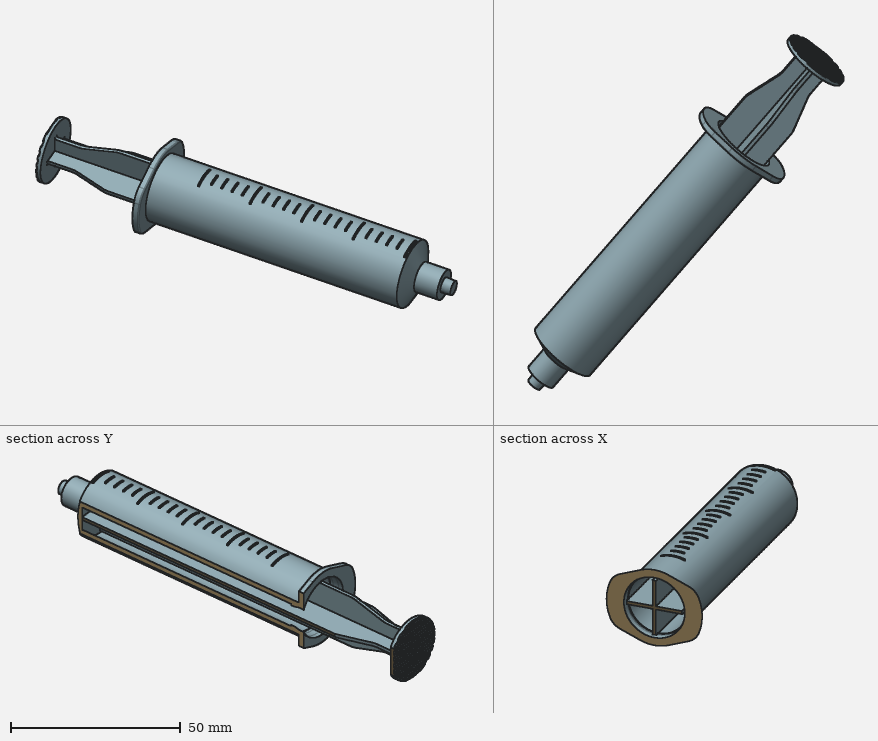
import cadquery as cq
import math


BARREL_DIAMETER = 21.3
BARREL_RADIUS = BARREL_DIAMETER / 2
BORE_DIAMETER = 19.4
BORE_RADIUS = BORE_DIAMETER / 2
FLANGE_THICKNESS = 2.0
SHOULDER_START = 84.4
SHOULDER_LENGTH = 2.8
BORE_DEPTH = 83.5

BEAD_HEIGHT = 0.2
BEAD_RAMP_START = 1.7
BEAD_LAND_START = 3.5
BEAD_END = 4.8

COLLAR_RADIUS = 4.8
COLLAR_LENGTH = 7.5
TIP_BASE_RADIUS = 2.4
TIP_END_RADIUS = 2.2
TIP_LENGTH = 3.2
NOZZLE_START = SHOULDER_START + SHOULDER_LENGTH
NOZZLE_END = NOZZLE_START + COLLAR_LENGTH + TIP_LENGTH

FLANGE_WIDTH = 31.0
FLANGE_HEIGHT = 25.0
FLANGE_SIDE_RADIUS = FLANGE_WIDTH / 2
FLANGE_TOP_RADIUS = FLANGE_HEIGHT / 2
FLANGE_CORNER_RADIUS = 6.1
FLANGE_SIDE_HALF_HEIGHT = 5.7
FLANGE_FILLET_RADIUS = 0.4

GRADUATION_COUNT = 21
MAJOR_EVERY = 5
GRADUATION_SPAN = 67.6
ZERO_MARK_X = 83.6
MARK_WIDTH = 0.46
MARK_HEIGHT = 0.2
MAJOR_HALF_LENGTH = 3.8
MINOR_HALF_LENGTH = 2.1

THUMB_DISC_RADIUS = 10.2
THUMB_DISC_THICKNESS = 1.5
OVERALL_LENGTH = 132
PLUNGER_START = NOZZLE_END - OVERALL_LENGTH
RIB_THICKNESS = 1.2
NECK_WIDTH = 10.7
RIB_WIDTH = 17.8
NECK_RADIUS = NECK_WIDTH / 2
RIB_RADIUS = RIB_WIDTH / 2
TAPER_START = PLUNGER_START + 10.3
TAPER_END = PLUNGER_START + 22.2
TAPER_BLEND_RADIUS = 6.6
DISC_FILLET_RADIUS = 0.7

GRIP_WIDTH = 1.12
GRIP_DEPTH = 0.3
GRIP_GROOVES_PER_SIDE = 5


def revolve_about_x(profile):
    """Revolve an XY profile a full turn about the X axis."""
    return profile.revolve(360, (0, 0, 0), (1, 0, 0))


def x_cylinder(radius, start, end):
    return cq.Workplane("YZ", origin=(start, 0, 0)).circle(radius).extrude(end - start)


def polar(radius, angle):
    return (radius * math.cos(angle), radius * math.sin(angle))


def make_flange():
    side_angle = math.asin(FLANGE_SIDE_HALF_HEIGHT / FLANGE_SIDE_RADIUS)
    corner_distance = FLANGE_SIDE_RADIUS - FLANGE_CORNER_RADIUS
    line_angle = side_angle + math.acos((FLANGE_TOP_RADIUS - FLANGE_CORNER_RADIUS) / corner_distance)
    corner_y, corner_z = polar(corner_distance, side_angle)

    def on_corner(angle):
        dy, dz = polar(FLANGE_CORNER_RADIUS, angle)
        return (corner_y + dy, corner_z + dz)

    quarter = (
        cq.Workplane("YZ")
        .lineTo(FLANGE_SIDE_RADIUS, 0)
        .threePointArc(polar(FLANGE_SIDE_RADIUS, side_angle / 2), polar(FLANGE_SIDE_RADIUS, side_angle))
        .threePointArc(on_corner((side_angle + line_angle) / 2), on_corner(line_angle))
        .lineTo(*polar(FLANGE_TOP_RADIUS, line_angle))
        .threePointArc(polar(FLANGE_TOP_RADIUS, (line_angle + math.pi / 2) / 2), (0, FLANGE_TOP_RADIUS))
        .close()
        .extrude(FLANGE_THICKNESS)
    )
    half = quarter.union(quarter.mirror("XZ"))
    flange = half.union(half.mirror("XY")).clean()
    return flange.faces(">X").edges().fillet(FLANGE_FILLET_RADIUS)


def make_graduations():
    """Low curved bars standing on top of the barrel wall, every fifth one longer."""
    pitch = GRADUATION_SPAN / (GRADUATION_COUNT - 1)
    mark_radius = BARREL_RADIUS + MARK_HEIGHT
    marks = []
    for index in range(GRADUATION_COUNT):
        half_length = MINOR_HALF_LENGTH
        if index % MAJOR_EVERY == 0:
            half_length = MAJOR_HALF_LENGTH
        mark_x = ZERO_MARK_X - index * pitch
        ring = x_cylinder(mark_radius, mark_x - MARK_WIDTH / 2, mark_x + MARK_WIDTH / 2)
        sector = cq.Workplane(origin=(mark_x, 0, 0)).rect(2 * MARK_WIDTH, 2 * half_length).extrude(mark_radius)
        marks.append(ring.intersect(sector))
    return marks


def make_bore():
    land_radius = BORE_RADIUS - BEAD_HEIGHT
    return revolve_about_x(
        cq.Workplane("XY")
        .lineTo(0, BORE_RADIUS)
        .lineTo(BEAD_RAMP_START, BORE_RADIUS)
        .lineTo(BEAD_LAND_START, land_radius)
        .lineTo(BEAD_END, land_radius)
        .lineTo(BEAD_END, BORE_RADIUS)
        .lineTo(BORE_DEPTH, BORE_RADIUS)
        .lineTo(BORE_DEPTH, 0)
        .close()
    )


def make_barrel():
    body = revolve_about_x(
        cq.Workplane("XY")
        .lineTo(0, BARREL_RADIUS)
        .lineTo(SHOULDER_START, BARREL_RADIUS)
        .lineTo(NOZZLE_START, COLLAR_RADIUS)
        .lineTo(NOZZLE_START, 0)
        .close()
    )
    body = body.union(make_flange())
    for mark in make_graduations():
        body = body.union(mark)
    return body.cut(make_bore())


def make_nozzle():
    collar_end = NOZZLE_START + COLLAR_LENGTH
    return revolve_about_x(
        cq.Workplane("XY")
        .moveTo(NOZZLE_START, 0)
        .lineTo(NOZZLE_START, COLLAR_RADIUS)
        .lineTo(collar_end, COLLAR_RADIUS)
        .lineTo(collar_end, TIP_BASE_RADIUS)
        .lineTo(NOZZLE_END, TIP_END_RADIUS)
        .lineTo(NOZZLE_END, 0)
        .close()
    )


def make_rib_envelope():
    """Round envelope that gives the ribs their outline, filleted into the thumb disc."""
    disc_back = PLUNGER_START + THUMB_DISC_THICKNESS
    taper_angle = math.atan2(RIB_RADIUS - NECK_RADIUS, TAPER_END - TAPER_START)
    blend = TAPER_BLEND_RADIUS * math.tan(taper_angle / 2)
    blend_x = blend * math.cos(taper_angle)
    blend_y = blend * math.sin(taper_angle)
    return revolve_about_x(
        cq.Workplane("XY")
        .moveTo(disc_back, 0)
        .lineTo(disc_back, NECK_RADIUS + DISC_FILLET_RADIUS)
        .radiusArc((disc_back + DISC_FILLET_RADIUS, NECK_RADIUS), -DISC_FILLET_RADIUS)
        .lineTo(TAPER_START - blend, NECK_RADIUS)
        .tangentArcPoint((TAPER_START + blend_x, NECK_RADIUS + blend_y), relative=False)
        .lineTo(TAPER_END - blend_x, RIB_RADIUS - blend_y)
        .tangentArcPoint((TAPER_END + blend, RIB_RADIUS), relative=False)
        .lineTo(BORE_DEPTH, RIB_RADIUS)
        .lineTo(BORE_DEPTH, 0)
        .close()
    )


def make_thumb_disc():
    disc = x_cylinder(THUMB_DISC_RADIUS, PLUNGER_START, PLUNGER_START + THUMB_DISC_THICKNESS)
    groove = cq.Workplane().box(2 * GRIP_DEPTH, 2 * THUMB_DISC_RADIUS, GRIP_WIDTH)
    for index in range(GRIP_GROOVES_PER_SIDE):
        groove_z = (2 * index + 1) * GRIP_WIDTH
        for side in (1, -1):
            disc = disc.cut(groove.translate((PLUNGER_START, 0, side * groove_z)))
    return disc


def make_plunger():
    length = BORE_DEPTH - PLUNGER_START
    upright_rib = cq.Workplane().box(length, RIB_THICKNESS, RIB_WIDTH, centered=(False, True, True))
    flat_rib = cq.Workplane().box(length, RIB_WIDTH, RIB_THICKNESS, centered=(False, True, True))
    cross = upright_rib.union(flat_rib).translate((PLUNGER_START, 0, 0))
    return cross.intersect(make_rib_envelope()).union(make_thumb_disc())


barrel = make_barrel()
nozzle = make_nozzle()
plunger = make_plunger()

result = cq.Compound.makeCompound([barrel.solids().val(), nozzle.solids().val(), plunger.solids().val()])